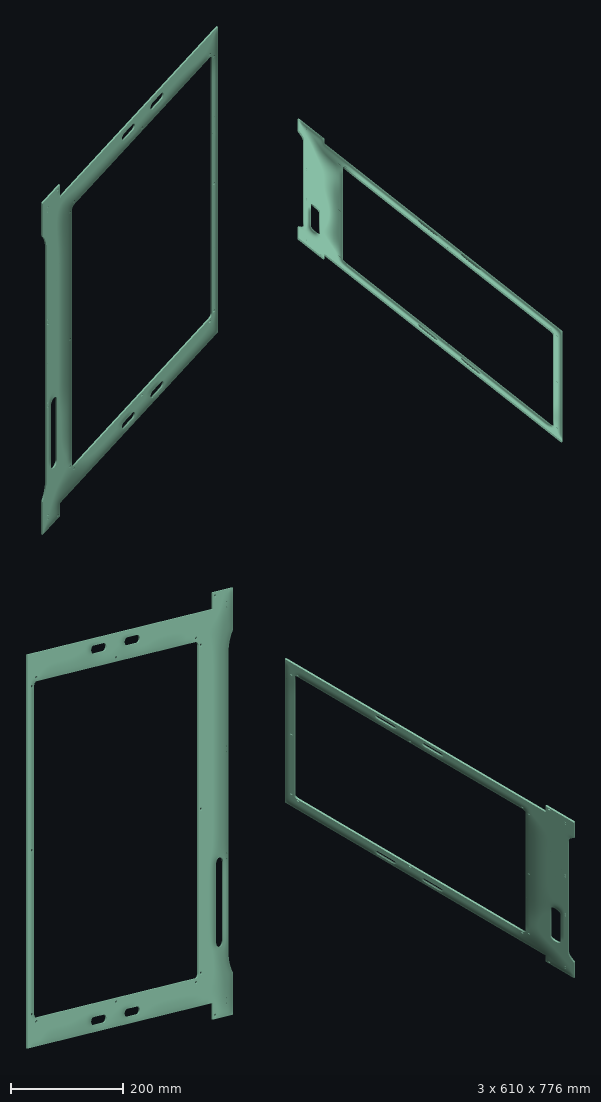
import cadquery as cq
import math

thickness = 3.0
width = 610.0
height = 776.0

frame_height = 715.0
tab_width = 60.5
edge_recess = 13.0
tab_edge_length = 77.0
recess_blend_length = 38.0

window_width = 487.0
window_height = 611.5
window_center_y = 41.0
window_corner_radius = 8.0

mount_hole_diameter = 5.5
hole_margin = 7.0
row_hole_spacing = 237.0
corner_hole_z = 298.0
tab_hole_inset_y = 8.0
tab_hole_inset_z = 7.0

pin_hole_diameter = 3.0
pin_pair_spacing = 10.0
pin_inset = 19.0
inner_pair_z = 97.0
outer_pair_z = 360.0

rail_slot_length = 45.0
rail_slot_width = 15.0
rail_slot_z = 337.5
rail_slot_centers_y = (93.0, -6.0)
handle_slot_length = 163.0
handle_slot_width = 21.0
handle_slot_y = -265.0
handle_slot_z = -178.0

back_y = width / 2
tab_outer_y = -width / 2
tab_inner_y = tab_outer_y + tab_width
recess_y = tab_outer_y + edge_recess
top_z = height / 2
frame_top_z = frame_height / 2
blend_outer_z = top_z - tab_edge_length
blend_inner_z = blend_outer_z - recess_blend_length

blend_radius = (recess_blend_length**2 + edge_recess**2) / (2 * edge_recess)
blend_angle = math.asin(recess_blend_length / blend_radius)
blend_mid_y = recess_y - blend_radius * (1 - math.cos(blend_angle / 2))
blend_mid_z = blend_inner_z + blend_radius * math.sin(blend_angle / 2)


def side_plane():
    """Workplane on the -X face with local axes along Y and Z."""
    return cq.Workplane("YZ", origin=(-thickness / 2, 0, 0))


def plate():
    return (
        side_plane()
        .moveTo(back_y, -frame_top_z)
        .lineTo(back_y, frame_top_z)
        .lineTo(tab_inner_y, frame_top_z)
        .lineTo(tab_inner_y, top_z)
        .lineTo(tab_outer_y, top_z)
        .lineTo(tab_outer_y, blend_outer_z)
        .threePointArc((blend_mid_y, blend_mid_z), (recess_y, blend_inner_z))
        .lineTo(recess_y, -blend_inner_z)
        .threePointArc((blend_mid_y, -blend_mid_z), (tab_outer_y, -blend_outer_z))
        .lineTo(tab_outer_y, -top_z)
        .lineTo(tab_inner_y, -top_z)
        .lineTo(tab_inner_y, -frame_top_z)
        .close()
        .extrude(thickness)
    )


def window():
    return (
        side_plane()
        .center(window_center_y, 0)
        .rect(window_width, window_height)
        .extrude(thickness)
        .edges("|X")
        .fillet(window_corner_radius)
    )


def holes(points, diameter):
    return side_plane().pushPoints(points).circle(diameter / 2).extrude(thickness)


def slots(points, length, slot_width, angle=0):
    return side_plane().pushPoints(points).slot2D(length, slot_width, angle).extrude(thickness)


column_offset = window_width / 2 + hole_margin
column_ys = [window_center_y + side * column_offset for side in (-1, 1)]
row_z = window_height / 2 + hole_margin

mount_hole_points = [(y, 0) for y in column_ys]
rail_slot_points = []
pin_points = []
for side in (-1, 1):
    for step in (-1, 0, 1):
        mount_hole_points.append((window_center_y + step * row_hole_spacing, side * row_z))
    for y in column_ys:
        mount_hole_points.append((y, side * corner_hole_z))
    mount_hole_points.append((tab_inner_y - tab_hole_inset_y, side * (top_z - tab_hole_inset_z)))
    for y in rail_slot_centers_y:
        rail_slot_points.append((y, side * rail_slot_z))
    for pair_z in (inner_pair_z, outer_pair_z):
        for offset in (-pin_pair_spacing / 2, pin_pair_spacing / 2):
            pin_points.append((tab_outer_y + pin_inset, side * pair_z + offset))

result = (
    plate()
    .cut(window())
    .cut(holes(mount_hole_points, mount_hole_diameter))
    .cut(holes(pin_points, pin_hole_diameter))
    .cut(slots(rail_slot_points, rail_slot_length, rail_slot_width))
    .cut(slots([(handle_slot_y, handle_slot_z)], handle_slot_length, handle_slot_width, 90))
)